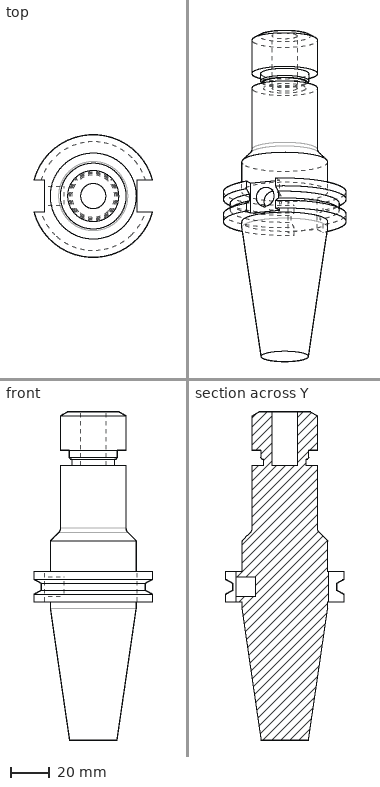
import cadquery as cq
import math


gauge_radius = 44.45 / 2
taper_length = 68.25
taper_ratio = 7 / 24
taper_tip_radius = gauge_radius - taper_length * taper_ratio / 2

flange_radius = 63.5 / 2
flange_bottom = 3.175
flange_top = 19.05
flange_height = flange_top - flange_bottom
flange_middle = (flange_bottom + flange_top) / 2
groove_root_radius = 28.18
groove_root_width = 3.6
groove_flank_angle = 30
groove_flank_height = (flange_radius - groove_root_radius) * math.tan(math.radians(groove_flank_angle))
groove_root_bottom = flange_middle - groove_root_width / 2
groove_root_top = flange_middle + groove_root_width / 2

body_radius = 17.0
shoulder_bottom = 34.9
shoulder_fillet = 3.0
body_top = 73.9

neck_radius = 11.0
collar_radius = 12.5
collar_bottom = 77.0
collar_chamfer = 0.8

nut_radius = 17.0
nut_bottom = 81.6
nut_top = 101.6
nut_face_radius = 13.2
nut_chamfer_angle = 30
nut_chamfer_height = (nut_radius - nut_face_radius) * math.tan(math.radians(nut_chamfer_angle))

bore_diameter = 13.0
bore_depth = nut_top - body_top

slot_width = 16.38
slot_floor_left = 25.2
slot_floor_right = 22.7

dimple_diameter = 10.0
dimple_depth = 10.0


def turned_body():
    """Revolve the half profile of the holder, from the taper tip up to the nut face."""
    eighth_turn = math.radians(45)
    fillet_start_radius = body_radius + shoulder_fillet * (1 - math.cos(eighth_turn))
    fillet_start_z = shoulder_bottom + gauge_radius - fillet_start_radius
    fillet_end_z = fillet_start_z + shoulder_fillet * math.sin(eighth_turn)
    fillet_middle = (
        body_radius + shoulder_fillet * (1 - math.cos(eighth_turn / 2)),
        fillet_end_z - shoulder_fillet * math.sin(eighth_turn / 2),
    )

    profile = (
        cq.Workplane("XZ")
        .moveTo(0, -taper_length)
        .lineTo(taper_tip_radius, -taper_length)
        .lineTo(gauge_radius, 0)
        .lineTo(gauge_radius, flange_bottom)
        .lineTo(flange_radius, flange_bottom)
        .lineTo(flange_radius, groove_root_bottom - groove_flank_height)
        .lineTo(groove_root_radius, groove_root_bottom)
        .lineTo(groove_root_radius, groove_root_top)
        .lineTo(flange_radius, groove_root_top + groove_flank_height)
        .lineTo(flange_radius, flange_top)
        .lineTo(gauge_radius, flange_top)
        .lineTo(gauge_radius, shoulder_bottom)
        .lineTo(fillet_start_radius, fillet_start_z)
        .threePointArc(fillet_middle, (body_radius, fillet_end_z))
        .lineTo(body_radius, body_top)
        .lineTo(neck_radius, body_top)
        .lineTo(neck_radius, collar_bottom)
        .lineTo(collar_radius - collar_chamfer, collar_bottom)
        .lineTo(collar_radius, collar_bottom + collar_chamfer)
        .lineTo(collar_radius, nut_bottom)
        .lineTo(nut_radius, nut_bottom)
        .lineTo(nut_radius, nut_top - nut_chamfer_height)
        .lineTo(nut_face_radius, nut_top)
        .lineTo(0, nut_top)
        .close()
    )
    return profile.revolve(360, (0, 0, 0), (0, 1, 0))


def collet_bore():
    """Blind bore down the axis from the nut face."""
    return cq.Workplane("XY").workplane(offset=nut_top).circle(bore_diameter / 2).extrude(-bore_depth)


def drive_slot(side, floor):
    """Slot cutter from the floor outwards; side is -1 for -X and +1 for +X."""
    cutter_length = flange_radius
    return cq.Workplane("XY").box(cutter_length, slot_width, flange_height).translate(
        (side * (floor + cutter_length / 2), 0, flange_middle)
    )


def slot_dimple():
    """Round blind hole along X, sunk into the floor of the left slot."""
    return (
        cq.Workplane("YZ", origin=(-slot_floor_left, 0, flange_middle))
        .circle(dimple_diameter / 2)
        .extrude(dimple_depth)
    )


result = (
    turned_body()
    .cut(collet_bore())
    .cut(drive_slot(-1, slot_floor_left))
    .cut(drive_slot(1, slot_floor_right))
    .cut(slot_dimple())
)